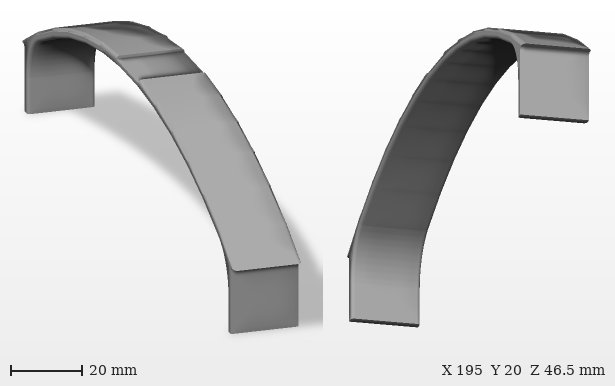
import cadquery as cq
import math

length = 195.0
width = 20.0
tip_height = 20.0
crown_height = 46.8

arch_thickness = 3.0
leg_outer_x = 94.2
leg_thickness = 3.0
inner_corner_radius = 15.6
tip_corner_radius = 1.0
edge_radius = 1.0

recess_length = 20.0
recess_floor = 45.5

half_length = length / 2
half_width = width / 2
arch_rise = crown_height - tip_height
outer_radius = (half_length**2 + arch_rise**2) / (2 * arch_rise)
inner_radius = outer_radius - arch_thickness
arc_center_z = crown_height - outer_radius
leg_inner_x = leg_outer_x - leg_thickness


def y_cylinder(radius):
    """Cylinder about the arch axis, spanning the width of the part."""
    return (
        cq.Workplane("XZ", origin=(0, 0, arc_center_z))
        .circle(radius)
        .extrude(half_width, both=True)
    )


def make_blank():
    """Solid outline with the outer leg walls and the rounded ledges below the tips."""
    ledge_x = leg_outer_x + tip_corner_radius
    arc_offset = tip_corner_radius * math.sqrt(0.5)
    arc_mid = (ledge_x - arc_offset, tip_height - tip_corner_radius + arc_offset)
    half = (
        cq.Workplane("XZ")
        .lineTo(leg_outer_x, 0)
        .lineTo(leg_outer_x, tip_height - tip_corner_radius)
        .threePointArc(arc_mid, (ledge_x, tip_height))
        .lineTo(half_length, tip_height)
        .lineTo(half_length, crown_height)
        .lineTo(0, crown_height)
        .close()
        .extrude(half_width, both=True)
    )
    return half.union(half.mirror("YZ"))


def make_opening():
    """Space between the legs, below the arch."""
    corner_x = leg_inner_x - inner_corner_radius
    corner_reach = inner_radius - inner_corner_radius
    corner_z = arc_center_z + math.sqrt(corner_reach**2 - corner_x**2)
    tangent_scale = inner_radius / corner_reach
    tangent_x = corner_x * tangent_scale
    tangent_z = arc_center_z + (corner_z - arc_center_z) * tangent_scale
    mid_angle = math.atan2(corner_z - arc_center_z, corner_x) / 2
    mid_x = corner_x + inner_corner_radius * math.cos(mid_angle)
    mid_z = corner_z + inner_corner_radius * math.sin(mid_angle)
    return (
        cq.Workplane("XZ")
        .moveTo(-leg_inner_x, 0)
        .lineTo(leg_inner_x, 0)
        .lineTo(leg_inner_x, corner_z)
        .threePointArc((mid_x, mid_z), (tangent_x, tangent_z))
        .threePointArc((0, arc_center_z + inner_radius), (-tangent_x, tangent_z))
        .threePointArc((-mid_x, mid_z), (-leg_inner_x, corner_z))
        .close()
        .extrude(half_width, both=True)
    )


def make_recess():
    """Flat step across the full width at the crown."""
    return (
        cq.Workplane("XY", origin=(0, 0, recess_floor))
        .rect(recess_length, width)
        .extrude(crown_height - recess_floor)
    )


def find_inner_rims(body):
    """Front and back edges of the opening, from foot to foot."""
    rims = []
    for side in ("<Y", ">Y"):
        for edge in body.faces(side).edges().vals():
            middle = edge.positionAt(0.5)
            above_foot = middle.z > edge_radius
            inside_legs = abs(middle.x) < leg_inner_x + edge_radius
            from_axis = math.hypot(middle.x, middle.z - arc_center_z)
            below_arch = from_axis < inner_radius + arch_thickness / 4
            if above_foot and inside_legs and below_arch:
                rims.append(edge)
    return rims


arched_top = y_cylinder(outer_radius).edges("%CIRCLE").fillet(edge_radius)
body = make_blank().intersect(arched_top).cut(make_opening())

inner_rims = find_inner_rims(body)
result = body.newObject(inner_rims).fillet(edge_radius).cut(make_recess())